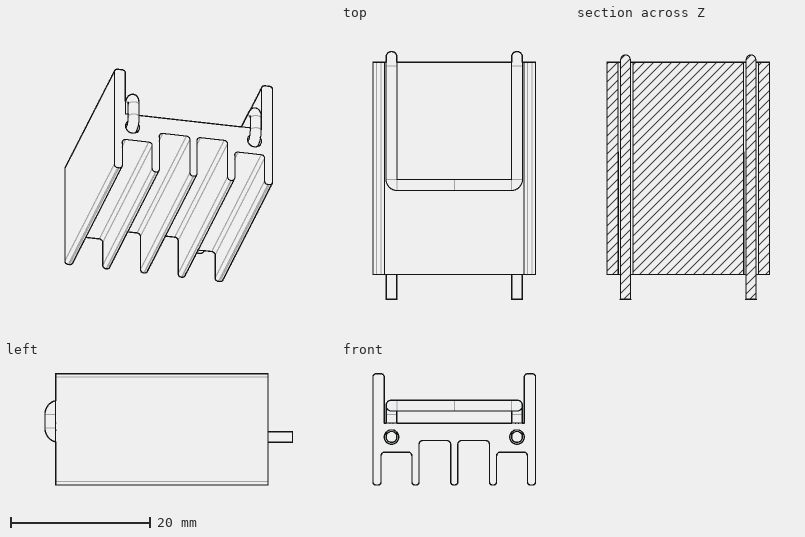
import cadquery as cq
import math

width = 23.37
length = 30.48
height = 16.0
wall_thickness = 1.65
floor_top = 8.89
outer_fin_thickness = 1.2
inner_fin_thickness = 1.07
fin_pitch = 5.56
inner_channel_top = 6.38
outer_channel_top = 4.72
edge_radius = 0.5

wire_diameter = 1.57
wire_radius = wire_diameter / 2
hole_diameter = 2.05
wire_spacing = 18.0
wire_x = wire_spacing / 2
lower_wire_z = 6.91
upper_wire_z = 11.42
total_length = 35.56
front_protrusion = 3.54
rear_protrusion = total_length - length - front_protrusion
rear_bend_radius = 1.27
corner_bend_radius = 0.8
crossbar_setback = 12.07
crossbar_y = crossbar_setback + wire_radius
upright_y = length + rear_protrusion - wire_radius


def cut_channel_pair(body, x_min, x_max, top):
    """Cut two mirrored full-length channels from below, with rounded upper corners."""
    channel = (
        cq.Workplane("XY")
        .box(x_max - x_min, length, top, centered=False)
        .edges("|Y and >Z")
        .fillet(edge_radius)
        .translate((x_min, 0, 0))
    )
    return body.cut(channel).cut(channel.mirror("YZ"))


def make_body():
    body = cq.Workplane("XY").box(width, length, height, centered=(True, False, False))
    tray_width = width - 2 * wall_thickness
    tray = (
        cq.Workplane("XY")
        .box(tray_width, length, height - floor_top, centered=(True, False, False))
        .translate((0, 0, floor_top))
    )
    body = body.cut(tray)

    half_fin = inner_fin_thickness / 2
    outer_fin_face = width / 2 - outer_fin_thickness
    body = cut_channel_pair(body, half_fin, fin_pitch - half_fin, inner_channel_top)
    body = cut_channel_pair(body, fin_pitch + half_fin, outer_fin_face, outer_channel_top)

    body = body.edges("|Y and >Z").fillet(edge_radius)
    body = body.edges("|Y and <Z").fillet(edge_radius)

    holes = (
        cq.Workplane("XZ")
        .pushPoints([(-wire_x, lower_wire_z), (wire_x, lower_wire_z)])
        .circle(hole_diameter / 2)
        .extrude(-length)
    )
    return body.cut(holes)


def make_half_wire():
    """Sweep the right half of the clip, from its front tip to mid crossbar."""
    diagonal = math.cos(math.radians(45))
    bend_y = upright_y - rear_bend_radius
    lower_bend_z = lower_wire_z + rear_bend_radius
    upper_bend_z = upper_wire_z - rear_bend_radius
    bend_mid_y = bend_y + rear_bend_radius * diagonal
    corner_x = wire_x - corner_bend_radius
    corner_y = crossbar_y + corner_bend_radius

    front_tip = cq.Vector(wire_x, -front_protrusion, lower_wire_z)
    lower_bend_start = cq.Vector(wire_x, bend_y, lower_wire_z)
    lower_bend_mid = cq.Vector(wire_x, bend_mid_y, lower_bend_z - rear_bend_radius * diagonal)
    lower_bend_end = cq.Vector(wire_x, upright_y, lower_bend_z)
    upper_bend_start = cq.Vector(wire_x, upright_y, upper_bend_z)
    upper_bend_mid = cq.Vector(wire_x, bend_mid_y, upper_bend_z + rear_bend_radius * diagonal)
    upper_bend_end = cq.Vector(wire_x, bend_y, upper_wire_z)
    corner_start = cq.Vector(wire_x, corner_y, upper_wire_z)
    corner_mid = cq.Vector(
        corner_x + corner_bend_radius * diagonal,
        corner_y - corner_bend_radius * diagonal,
        upper_wire_z,
    )
    corner_end = cq.Vector(corner_x, crossbar_y, upper_wire_z)
    crossbar_middle = cq.Vector(0, crossbar_y, upper_wire_z)

    path = cq.Wire.assembleEdges(
        [
            cq.Edge.makeLine(front_tip, lower_bend_start),
            cq.Edge.makeThreePointArc(lower_bend_start, lower_bend_mid, lower_bend_end),
            cq.Edge.makeLine(lower_bend_end, upper_bend_start),
            cq.Edge.makeThreePointArc(upper_bend_start, upper_bend_mid, upper_bend_end),
            cq.Edge.makeLine(upper_bend_end, corner_start),
            cq.Edge.makeThreePointArc(corner_start, corner_mid, corner_end),
            cq.Edge.makeLine(corner_end, crossbar_middle),
        ]
    )
    return (
        cq.Workplane("XZ", origin=front_tip.toTuple())
        .circle(wire_radius)
        .sweep(cq.Workplane(path))
    )


half_wire = make_half_wire()
result = make_body().union(half_wire).union(half_wire.mirror("YZ"))